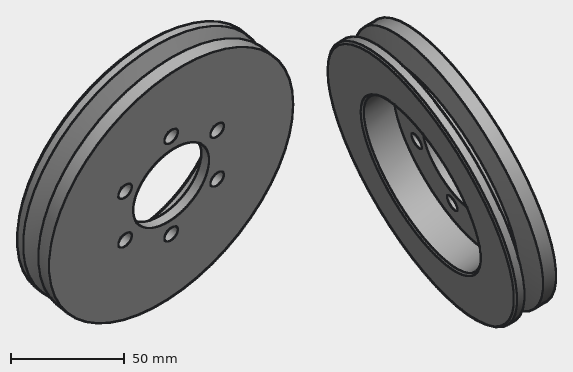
import cadquery as cq

outer_diameter = 145.0
width = 22.0
rim_chamfer = 1.0

groove_bottom_diameter = 119.0
groove_center = 10.0
groove_top_width = 10.0
groove_bottom_width = 1.9

recess_diameter = 90.0
recess_chamfer = 1.0
web_thickness = 5.1
bore_diameter = 45.0

bolt_hole_count = 6
bolt_hole_diameter = 8.0
bolt_circle_diameter = 63.1


def rim_disc():
    """Solid disc chamfered on its recessed face."""
    disc = cq.Workplane("YZ").circle(outer_diameter / 2).extrude(width)
    return disc.faces("<X").edges().chamfer(rim_chamfer)


def v_groove():
    """Ring with a trapezoid section, revolved about the X axis."""
    rim_radius = outer_diameter / 2
    bottom_radius = groove_bottom_diameter / 2
    section = [
        (groove_center - groove_top_width / 2, rim_radius),
        (groove_center - groove_bottom_width / 2, bottom_radius),
        (groove_center + groove_bottom_width / 2, bottom_radius),
        (groove_center + groove_top_width / 2, rim_radius),
    ]
    return cq.Workplane("XY").polyline(section).close().revolve(360, (0, 0, 0), (1, 0, 0))


def recess():
    """Round pocket with a chamfered mouth, leaving the web at the far face."""
    radius = recess_diameter / 2
    depth = width - web_thickness
    section = [
        (0, 0),
        (0, radius + recess_chamfer),
        (recess_chamfer, radius),
        (depth, radius),
        (depth, 0),
    ]
    return cq.Workplane("XY").polyline(section).close().revolve(360, (0, 0, 0), (1, 0, 0))


def web_holes():
    """Central bore and the ring of bolt holes, one of them on the Z axis."""
    bore = cq.Workplane("YZ").circle(bore_diameter / 2).extrude(width)
    bolt_holes = (
        cq.Workplane("YZ")
        .polarArray(bolt_circle_diameter / 2, 90, 360, bolt_hole_count)
        .circle(bolt_hole_diameter / 2)
        .extrude(width)
    )
    return bore.union(bolt_holes)


result = rim_disc().cut(v_groove()).cut(recess()).cut(web_holes())